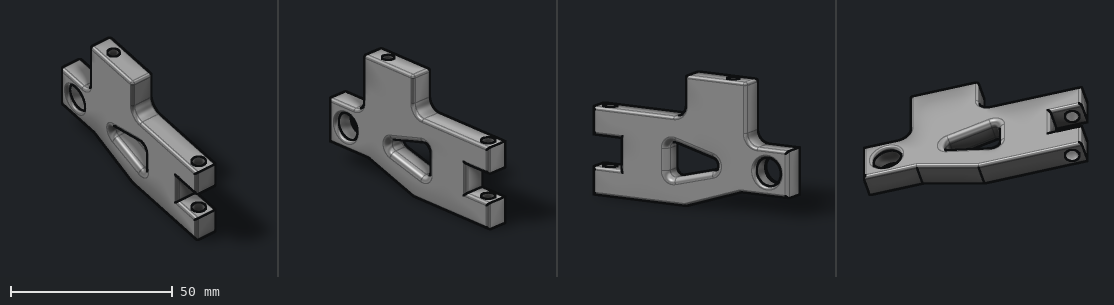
import cadquery as cq

length = 70.0
thickness = 8.0
height = 41.5
edge_radius = 1.0

lug_bottom = 6.5
lug_top = 21.5
tab_left = 15.0
tab_right = 36.95
arm_top = 28.0
slope_start = 17.0
slope_end = 36.8
corner_radius = 4.0
mid_height = (lug_bottom + lug_top) / 2

slot_depth = 10.0
slot_width = 9.95
slot_left = length - slot_depth
slot_bottom = mid_height - slot_width / 2
slot_top = mid_height + slot_width / 2

bore_x = 7.5
bore_diameter = 9.0
seat_diameter = 10.35

window_radius = 2.0
window_left = 27.85
window_right = 41.3
window_half_height = 3.5
window_edge_radius = 2.0

tab_hole_x = 22.0
tab_hole_diameter = 3.85
tab_hole_depth = 14.0
pin_hole_x = 65.95
pin_hole_diameter = 4.5

selection_margin = 0.35


def front_plane():
    """Sketch plane on the front face; extruding by -thickness goes to the back."""
    return cq.Workplane("XZ", origin=(0, -thickness / 2, 0))


def edges_in(body, x_range, z_range):
    """Edges whose centres lie in the given X and Z ranges, at any depth."""
    low = (x_range[0], -thickness, z_range[0])
    high = (x_range[1], thickness, z_range[1])
    return body.edges(cq.selectors.BoxSelector(low, high))


def make_plate():
    """Outline with a fork slot, concave corner arcs and rounded edges."""
    plate = (
        front_plane()
        .moveTo(0, lug_bottom)
        .lineTo(slope_start, lug_bottom)
        .lineTo(slope_end, 0)
        .lineTo(length, 0)
        .lineTo(length, slot_bottom)
        .lineTo(slot_left, slot_bottom)
        .lineTo(slot_left, slot_top)
        .lineTo(length, slot_top)
        .lineTo(length, arm_top)
        .lineTo(tab_right + corner_radius, arm_top)
        .radiusArc((tab_right, arm_top + corner_radius), corner_radius)
        .lineTo(tab_right, height)
        .lineTo(tab_left, height)
        .lineTo(tab_left, lug_top + corner_radius)
        .radiusArc((tab_left - corner_radius, lug_top), corner_radius)
        .lineTo(0, lug_top)
        .close()
        .extrude(-thickness)
    )
    face_edges = plate.faces("<Y or >Y").edges()
    tab_corners = plate.faces(">Z").edges("|Y")
    return face_edges.add(tab_corners).fillet(edge_radius)


def cut_bore(body):
    """Through bore with rounded rims and a spherical seat between short cylindrical lands."""
    bore = front_plane().center(bore_x, mid_height).circle(bore_diameter / 2).extrude(-thickness)
    body = body.cut(bore)
    reach = selection_margin
    rims = edges_in(body, (bore_x - reach, bore_x + reach), (mid_height - reach, mid_height + reach))
    body = rims.edges("%CIRCLE").fillet(edge_radius)
    seat_radius = seat_diameter / 2
    seat = (
        cq.Workplane("XY", origin=(bore_x, 0, mid_height))
        .moveTo(0, -seat_radius)
        .threePointArc((seat_radius, 0), (0, seat_radius))
        .close()
        .revolve(360, (0, 0), (0, 1))
    )
    return body.cut(seat)


def cut_window(body):
    """Triangular through window with widely rounded rims on both faces."""
    window = (
        front_plane()
        .moveTo(window_left, mid_height)
        .lineTo(window_right, mid_height - window_half_height)
        .lineTo(window_right, mid_height + window_half_height)
        .close()
        .offset2D(window_radius)
        .extrude(-thickness)
    )
    body = body.cut(window)
    reach = window_radius + selection_margin
    rims = edges_in(
        body,
        (window_left - reach, window_right + reach),
        (mid_height - window_half_height - reach, mid_height + window_half_height + reach),
    )
    return rims.edges("not |Y").fillet(window_edge_radius)


def vertical_hole(x, diameter, bottom, top):
    return cq.Workplane("XY", origin=(x, 0, bottom)).circle(diameter / 2).extrude(top - bottom)


result = cut_window(cut_bore(make_plate()))
result = result.cut(vertical_hole(tab_hole_x, tab_hole_diameter, height - tab_hole_depth, height))
result = result.cut(vertical_hole(pin_hole_x, pin_hole_diameter, 0, arm_top))